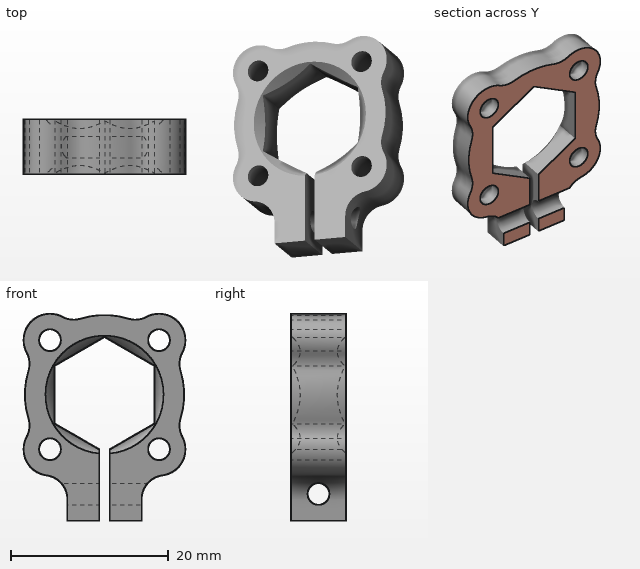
import cadquery as cq
import math

thickness = 7.0
width = 20.55
height = 26.3
body_radius = 10.12
lobe_radius = 3.37
lobe_offset = width / 2 - lobe_radius
neck_radius = 3.0
screw_hole_diameter = 2.73
bottom_z = width / 2 - height

hex_across_flats = 12.67
hex_corner_diameter = hex_across_flats / math.cos(math.pi / 6)
lead_in_radius = 7.5
lead_in_angle = 45.0

ears_width = 9.46
slot_width = 1.31
clamp_hole_diameter = 2.73
clamp_hole_height = 3.42
ear_fillet_radius = 3.0


def disc(x, z, radius):
    """Full-thickness cylinder along Y, spanning the plate thickness."""
    return cq.Workplane("XZ").center(x, z).circle(radius).extrude(thickness / 2, both=True)


def slab(size_x, low_z, high_z):
    """Full-thickness block centred on X = 0."""
    return cq.Workplane("XY").box(size_x, thickness, high_z - low_z).translate((0, 0, (low_z + high_z) / 2))


def fillet_web(start, fillet_centre, end, anchor):
    """Fill between two outline parts, bounded by a concave tangent arc around fillet_centre."""
    radius = math.dist(start, fillet_centre)
    middle = ((start[0] + end[0]) / 2, (start[1] + end[1]) / 2)
    reach = radius / math.dist(middle, fillet_centre)
    arc_point = tuple(c + (m - c) * reach for c, m in zip(fillet_centre, middle))
    outline = cq.Workplane("XZ").moveTo(*start).threePointArc(arc_point, end)
    for point in anchor:
        outline = outline.lineTo(*point)
    return outline.close().extrude(thickness / 2, both=True)


def neck_web():
    """Concave blend between the ring's top and the upper-right lobe."""
    lobe_distance = lobe_offset * math.sqrt(2)
    to_body = body_radius + neck_radius
    to_lobe = lobe_radius + neck_radius
    cos_turn = (to_body**2 + lobe_distance**2 - to_lobe**2) / (2 * to_body * lobe_distance)
    direction = math.pi / 4 + math.acos(cos_turn)
    centre = (to_body * math.cos(direction), to_body * math.sin(direction))
    body_tangent = tuple(c * body_radius / to_body for c in centre)
    lobe_tangent = tuple(lobe_offset + (c - lobe_offset) * lobe_radius / to_lobe for c in centre)
    return fillet_web(body_tangent, centre, lobe_tangent, [(lobe_offset, lobe_offset), (0, 0)])


def ear_web():
    """Concave blend between the lower-right lobe and the outer side of the ear."""
    centre_x = ears_width / 2 + ear_fillet_radius
    to_lobe = lobe_radius + ear_fillet_radius
    centre_z = -lobe_offset - math.sqrt(to_lobe**2 - (centre_x - lobe_offset) ** 2)
    lobe_tangent = (
        lobe_offset + (centre_x - lobe_offset) * lobe_radius / to_lobe,
        -lobe_offset + (centre_z + lobe_offset) * lobe_radius / to_lobe,
    )
    ear_tangent = (ears_width / 2, centre_z)
    inner_corner = (slot_width, centre_z)
    anchor = [inner_corner, (0, 0), (lobe_offset, -lobe_offset)]
    return fillet_web(lobe_tangent, (centre_x, centre_z), ear_tangent, anchor)


def lead_in():
    """Conical cutter opening towards the -Y face."""
    cone_depth = lead_in_radius * math.tan(math.radians(lead_in_angle))
    face_y = -thickness / 2
    return (
        cq.Workplane("XY")
        .polyline([(0, face_y), (lead_in_radius, face_y), (0, face_y + cone_depth)])
        .close()
        .revolve(360, (0, 0, 0), (0, 1, 0))
    )


lobe_centres = [(sx * lobe_offset, sz * lobe_offset) for sx in (-1, 1) for sz in (-1, 1)]
plate = disc(0, 0, body_radius)
for x, z in lobe_centres:
    plate = plate.union(disc(x, z, lobe_radius))

neck = neck_web()
neck_pair = neck.union(neck.mirror("YZ"))
for angle in (-90, 0, 90):
    plate = plate.union(neck_pair.rotate((0, 0, 0), (0, 1, 0), angle))

ear_blend = ear_web()
plate = plate.union(slab(ears_width, bottom_z, 0))
plate = plate.union(ear_blend).union(ear_blend.mirror("YZ"))

hex_bore = (
    cq.Workplane("XZ")
    .transformed(rotate=(0, 0, 30))
    .polygon(6, hex_corner_diameter)
    .extrude(thickness / 2, both=True)
)
front_lead_in = lead_in()
plate = plate.cut(hex_bore).cut(front_lead_in).cut(front_lead_in.mirror("XZ"))

for x, z in lobe_centres:
    plate = plate.cut(disc(x, z, screw_hole_diameter / 2))
plate = plate.cut(slab(slot_width, bottom_z, 0))
clamp_hole = (
    cq.Workplane("YZ")
    .center(0, bottom_z + clamp_hole_height)
    .circle(clamp_hole_diameter / 2)
    .extrude(width / 2, both=True)
)
result = plate.cut(clamp_hole)